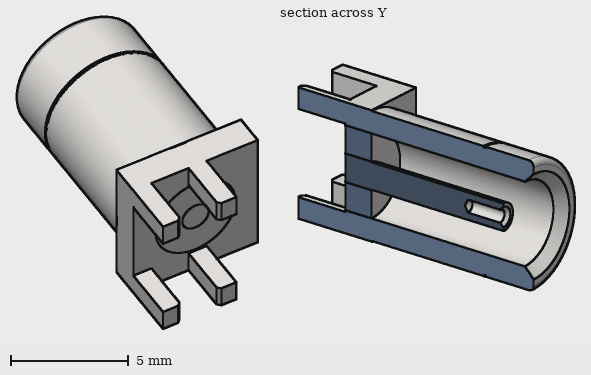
import cadquery as cq

length = 12.7
flange_side = 6.1
flange_front = 8.74
flange_back = 10.17

barrel_radius = 3.02
nose_fillet = 0.28
groove_front = 2.6
groove_back = 2.69
groove_depth = 0.05
bore_radius = 1.95
mouth_chamfer = 0.48

leg_width = 0.89
leg_height = 1.02
leg_chamfer = 0.15
middle_leg_bottom = -0.34

contact_radius = 0.65
contact_tip = 1.64
socket_radius = 0.29
socket_lead_in = 0.18
socket_depth = 1.9
socket_cone_depth = 0.17


def x_cylinder(radius, start, end):
    """Solid cylinder on the connector axis between two X positions."""
    return cq.Workplane("YZ", origin=(start, 0, 0)).circle(radius).extrude(end - start)


def make_leg(bottom_y, chamfer_low_y, upper):
    """Leg behind the flange with one tip edge chamfered."""
    base_z = flange_side / 2 - leg_height if upper else -flange_side / 2
    leg = cq.Workplane("XY").box(
        length - flange_back, leg_width, leg_height, centered=False
    )
    tip_edge = ">X and <Y" if chamfer_low_y else ">X and >Y"
    leg = leg.edges("|Z").edges(tip_edge).chamfer(leg_chamfer)
    return leg.translate((flange_back, bottom_y, base_z))


def make_housing():
    """Barrel, square flange and four legs, bored through along X."""
    barrel = x_cylinder(barrel_radius, 0, flange_front).faces("<X").edges().fillet(nose_fillet)
    groove = x_cylinder(flange_side, groove_front, groove_back).cut(
        x_cylinder(barrel_radius - groove_depth, groove_front, groove_back)
    )
    flange = cq.Workplane("YZ", origin=(flange_front, 0, 0)).rect(flange_side, flange_side)
    body = barrel.cut(groove).union(flange.extrude(flange_back - flange_front))
    for upper in (True, False):
        body = body.union(make_leg(-flange_side / 2, False, upper))
        body = body.union(make_leg(middle_leg_bottom, True, upper))

    bore = x_cylinder(bore_radius, 0, flange_back)
    mouth = (
        cq.Workplane("XY")
        .moveTo(0, 0)
        .lineTo(0, bore_radius + mouth_chamfer)
        .lineTo(mouth_chamfer, bore_radius)
        .lineTo(mouth_chamfer, 0)
        .close()
        .revolve(360, (0, 0, 0), (1, 0, 0))
    )
    return body.cut(bore).cut(mouth)


def make_insulator():
    """Disc that fills the bore inside the flange and holds the contact."""
    disc = x_cylinder(bore_radius, flange_front, flange_back)
    return disc.cut(x_cylinder(contact_radius, flange_front, flange_back))


def make_contact():
    """Centre contact with a chamfered socket entry and a conical socket bottom."""
    socket_end = contact_tip + socket_depth
    return (
        cq.Workplane("XY")
        .moveTo(contact_tip, contact_radius)
        .lineTo(contact_tip, socket_radius + socket_lead_in)
        .lineTo(contact_tip + socket_lead_in, socket_radius)
        .lineTo(socket_end, socket_radius)
        .lineTo(socket_end + socket_cone_depth, 0)
        .lineTo(flange_back, 0)
        .lineTo(flange_back, contact_radius)
        .close()
        .revolve(360, (0, 0, 0), (1, 0, 0))
    )


housing = make_housing()
insulator = make_insulator()
contact = make_contact()

result = cq.Compound.makeCompound([housing.val(), insulator.val(), contact.val()])